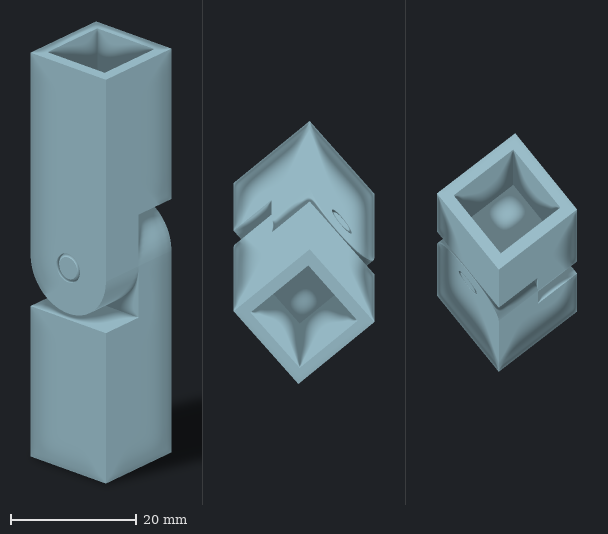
import cadquery as cq

total_length = 71.0
arm_width = 16.0
wall = 1.9
socket_floor = wall
hinge_clearance = 1.1
running_hole_diameter = 5.0
pin_diameter = 4.75
pin_chamfer = 0.5

half_length = total_length / 2
tongue_radius = arm_width / 2
tongue_thickness = arm_width / 2
shoulder_height = tongue_radius + hinge_clearance
socket_width = arm_width - 2 * wall
socket_depth = half_length - shoulder_height - socket_floor


def make_arm(hole_diameter):
    """Square arm, socket open at the top, half-thick rounded tongue with a hinge hole on its -Y side."""
    arm_body = (
        cq.Workplane("XY")
        .workplane(offset=shoulder_height)
        .rect(arm_width, arm_width)
        .extrude(half_length - shoulder_height)
    )

    tongue = (
        cq.Workplane("XZ")
        .moveTo(-tongue_radius, shoulder_height)
        .lineTo(-tongue_radius, 0)
        .threePointArc((0, -tongue_radius), (tongue_radius, 0))
        .lineTo(tongue_radius, shoulder_height)
        .close()
        .extrude(tongue_thickness)
    )

    socket = (
        cq.Workplane("XY")
        .workplane(offset=half_length)
        .rect(socket_width, socket_width)
        .extrude(-socket_depth)
    )

    hinge_hole = cq.Workplane("XZ").circle(hole_diameter / 2).extrude(tongue_thickness)

    return arm_body.union(tongue).cut(socket).cut(hinge_hole)


def make_hinge_pin():
    """Straight pin through both tongues, flush with the outer faces and chamfered at both ends."""
    return (
        cq.Workplane("XZ")
        .circle(pin_diameter / 2)
        .extrude(tongue_thickness, both=True)
        .faces("<Y or >Y")
        .chamfer(pin_chamfer)
    )


upper_arm = make_arm(running_hole_diameter)

lower_arm = make_arm(pin_diameter).rotate((0, 0, 0), (1, 0, 0), 180)

hinge_pin = make_hinge_pin()

result = cq.Compound.makeCompound([upper_arm.val(), lower_arm.val(), hinge_pin.val()])